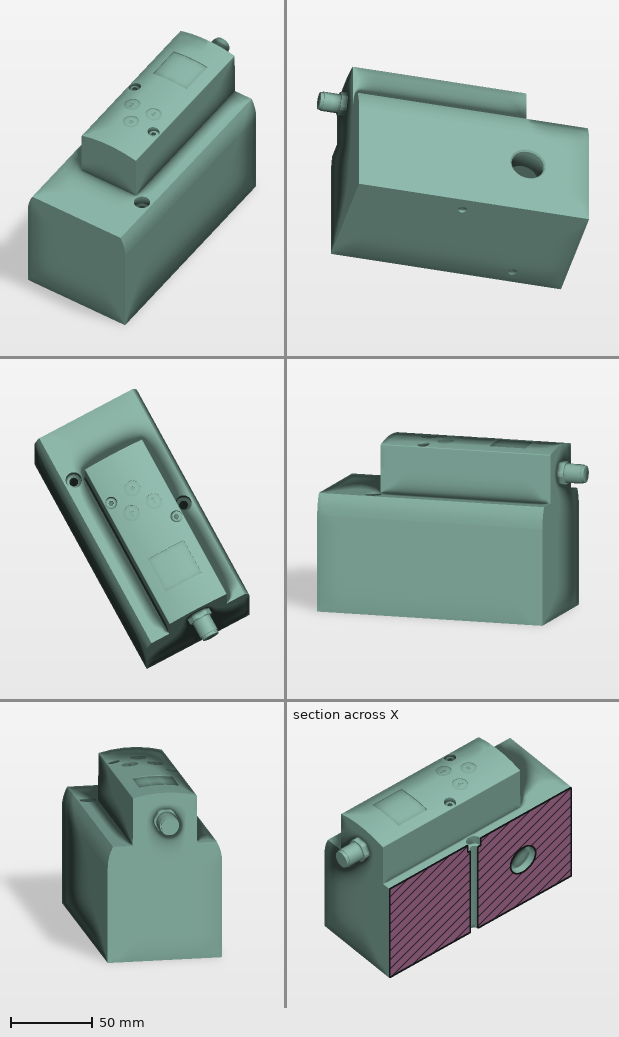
import cadquery as cq
import math

body_width = 72.0
body_length = 146.3
body_height = 74.0
shoulder_radius = 28.5
shoulder_drop = 13.4

housing_front = 36.0
housing_base_width = 40.6
housing_top_width = 40.1
overall_height = 107.0
crown_drop = 2.7
crown_edge_radius = 0.6

window_width = 25.0
window_length = 23.3
window_rear_gap = 18.8
window_depth = 0.7

button_diameter = 10.0
button_depth = 0.5
button_pitch = 15.8
button_row_y = 74.1
centre_button_y = 60.8
ring_diameter = 3.0
icon_depth = 0.3
arrow_length = 4.6
arrow_width = 3.4
arrow_shaft_width = 1.5

screw_positions = [(-15.75, 88.8), (15.75, 62.3)]
screw_bore_diameter = 7.5
screw_face_diameter = 5.3
screw_bevel_height = 0.8
screw_rim_z = 102.8
screw_socket_size = 3.0
screw_socket_depth = 2.0

mount_positions = [(-26.4, 78.2), (26.4, 33.3)]
mount_hole_diameter = 5.5
mount_counterbore_diameter = 10.0
mount_counterbore_depth = 6.0

port_y = 38.8
port_z = 36.0
port_mouth_diameter = 22.4
port_thread_diameter = 20.4
port_taper = 1 / 16
port_chamfer_length = 1.0
port_depth = 15.0

overall_length = 162.8
connector_z = 89.6
nut_flats = 14.0
nut_corner_diameter = 15.1
nut_length = 4.0
nut_chamfer = 0.4
barrel_diameter = 12.0
neck_diameter = 11.0
tip_diameter = 10.77
neck_length = 1.0
tip_length = 1.0

window_y = body_length - window_rear_gap - window_length / 2


def post(x, y, diameter, bottom, top):
    """Upright cylinder."""
    return cq.Workplane("XY", origin=(x, y, bottom)).circle(diameter / 2).extrude(top - bottom)


def rear_cylinder(diameter, start, length):
    """Cylinder on the connector axis, running towards +Y."""
    plane = cq.Workplane("XZ", origin=(0, start, connector_z))
    return plane.circle(diameter / 2).extrude(-length)


def make_body():
    """Block with rounded shoulders along its upper long edges."""
    half = body_width / 2
    shoulder_z = body_height - shoulder_drop

    def shoulder_inset(rise):
        return shoulder_radius - math.sqrt(shoulder_radius ** 2 - rise ** 2)

    middle = (half - shoulder_inset(shoulder_drop / 2), shoulder_z + shoulder_drop / 2)
    top_corner = (half - shoulder_inset(shoulder_drop), body_height)
    outline = (
        cq.Workplane("XZ")
        .moveTo(-half, 0)
        .lineTo(half, 0)
        .lineTo(half, shoulder_z)
        .threePointArc(middle, top_corner)
        .lineTo(-top_corner[0], top_corner[1])
        .threePointArc((-middle[0], middle[1]), (-half, shoulder_z))
        .close()
    )
    return outline.extrude(-body_length)


def housing_blank(lowering):
    """Sharp-edged housing with its crown lowered by the given amount."""
    half_base = housing_base_width / 2
    half_top = housing_top_width / 2
    edge_z = overall_height - crown_drop - lowering
    return (
        cq.Workplane("XZ", origin=(0, housing_front, 0))
        .moveTo(-half_base, body_height)
        .lineTo(half_base, body_height)
        .lineTo(half_top, edge_z)
        .threePointArc((0, overall_height - lowering), (-half_top, edge_z))
        .close()
        .extrude(housing_front - body_length)
    )


def make_housing():
    """Housing with its long top edges rounded."""
    edge_z = overall_height - crown_drop
    long_top_edges = cq.selectors.BoxSelector(
        (-body_width, housing_front, edge_z - crown_edge_radius),
        (body_width, body_length, edge_z + crown_edge_radius),
    )
    return housing_blank(0).edges("|Y").edges(long_top_edges).fillet(crown_edge_radius)


def crown_pocket(outline_prism, depth):
    """Part of a prism that lies above the crown lowered by depth."""
    return outline_prism.cut(housing_blank(depth))


def make_window():
    """Rectangular window recess that follows the crown."""
    prism = cq.Workplane("XY", origin=(0, window_y, body_height)).rect(window_width, window_length)
    return crown_pocket(prism.extrude(overall_height - body_height), window_depth)


def make_button(x, y):
    """Round button recess that follows the crown."""
    return crown_pocket(post(x, y, button_diameter, body_height, overall_height), button_depth)


def make_arrow(x, y, direction):
    """Arrow engraving in a button floor; direction is 1 towards +Y and -1 towards -Y."""
    half_length = direction * arrow_length / 2
    prism = (
        cq.Workplane("XY", origin=(x, y, body_height))
        .moveTo(0, half_length)
        .lineTo(arrow_width / 2, 0)
        .lineTo(arrow_shaft_width / 2, 0)
        .lineTo(arrow_shaft_width / 2, -half_length)
        .lineTo(-arrow_shaft_width / 2, -half_length)
        .lineTo(-arrow_shaft_width / 2, 0)
        .lineTo(-arrow_width / 2, 0)
        .close()
        .extrude(overall_height - body_height)
    )
    return crown_pocket(prism, button_depth + icon_depth)


def make_ring(x, y):
    """Round engraving in a button floor."""
    prism = post(x, y, ring_diameter, body_height, overall_height)
    return crown_pocket(prism, button_depth + icon_depth)


def make_screw_head(x, y):
    """Bevelled screw head that fills the width of its bore."""
    return (
        cq.Workplane("XY", origin=(x, y, screw_rim_z))
        .circle(screw_bore_diameter / 2)
        .workplane(offset=screw_bevel_height)
        .circle(screw_face_diameter / 2)
        .loft()
    )


def make_screw_socket(x, y):
    """Hexagon socket in the face of a screw head."""
    return (
        cq.Workplane("XY", origin=(x, y, screw_rim_z + screw_bevel_height))
        .polygon(6, screw_socket_size, circumscribed=True)
        .extrude(-screw_socket_depth)
    )


def make_mounting_hole(x, y):
    """Through hole with a counterbore at the top of the body."""
    hole = post(x, y, mount_hole_diameter, 0, body_height)
    counterbore_floor = body_height - mount_counterbore_depth
    return hole.union(post(x, y, mount_counterbore_diameter, counterbore_floor, body_height))


def make_port():
    """Blind side port with a chamfered mouth and a tapered bore, entering from the -X side."""
    mouth_radius = port_mouth_diameter / 2
    thread_radius = port_thread_diameter / 2
    floor_radius = thread_radius - port_taper * (port_depth - port_chamfer_length) / 2
    return (
        cq.Workplane("XY", origin=(-body_width / 2, port_y, port_z))
        .lineTo(0, mouth_radius)
        .lineTo(port_chamfer_length, thread_radius)
        .lineTo(port_depth, floor_radius)
        .lineTo(port_depth, 0)
        .close()
        .revolve(360, (0, 0, 0), (1, 0, 0))
    )


def make_connector():
    """Plug connector on the rear face: nut with rounded corners, barrel, neck and tip."""
    tip_start = overall_length - tip_length
    neck_start = tip_start - neck_length
    barrel_start = body_length + nut_length
    hexagon = (
        cq.Workplane("XZ", origin=(0, body_length, connector_z))
        .polygon(6, nut_flats / math.cos(math.pi / 6))
        .extrude(-nut_length)
    )
    corners = rear_cylinder(nut_corner_diameter, body_length, nut_length)
    nut = hexagon.intersect(corners.faces(">Y").chamfer(nut_chamfer))
    return (
        nut.union(rear_cylinder(barrel_diameter, barrel_start, neck_start - barrel_start))
        .union(rear_cylinder(neck_diameter, neck_start, neck_length))
        .union(rear_cylinder(tip_diameter, tip_start, tip_length))
    )


result = make_body().union(make_housing()).union(make_connector())
result = result.cut(make_window()).cut(make_port())

for side in (-1, 1):
    button_x = side * button_pitch / 2
    result = result.cut(make_button(button_x, button_row_y))
    result = result.cut(make_arrow(button_x, button_row_y, -side))
result = result.cut(make_button(0, centre_button_y)).cut(make_ring(0, centre_button_y))

for x, y in screw_positions:
    result = result.cut(post(x, y, screw_bore_diameter, screw_rim_z, overall_height))
    result = result.union(make_screw_head(x, y)).cut(make_screw_socket(x, y))

for x, y in mount_positions:
    result = result.cut(make_mounting_hole(x, y))